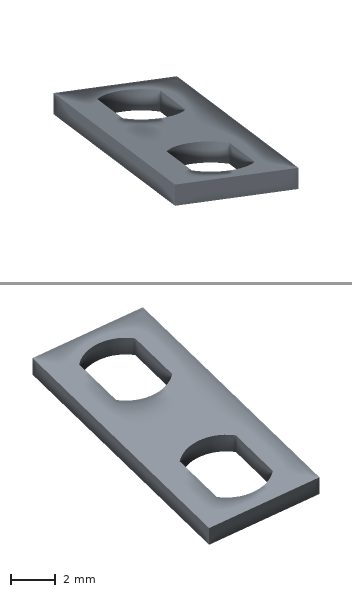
import cadquery as cq

plate_length = 13.9
plate_width = 6.0
plate_thickness = 1.0

hole_diameter = 4.23
hole_flat_distance = 3.06
hole_spacing = 7.92


def double_flat_cutter(center_x):
    """Through-hole cutter: a cylinder trimmed by two flats."""
    cylinder = cq.Workplane("XY").center(center_x, 0).circle(hole_diameter / 2).extrude(plate_thickness)
    flats = (
        cq.Workplane("XY")
        .center(center_x, 0)
        .rect(hole_diameter, hole_flat_distance)
        .extrude(plate_thickness)
    )
    return cylinder.intersect(flats)


result = cq.Workplane("XY").rect(plate_length, plate_width).extrude(plate_thickness)
for side in (-1, 1):
    result = result.cut(double_flat_cutter(side * hole_spacing / 2))